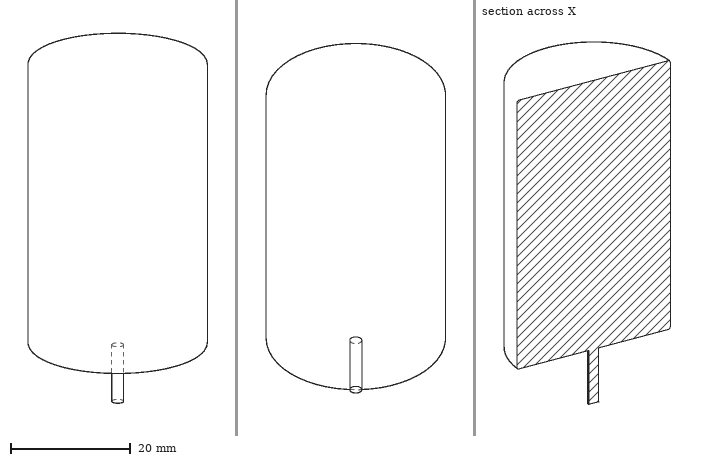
import cadquery as cq

body_diameter = 30.0
body_height = 50.0
edge_radius = 0.5
pin_diameter = 2.0
pin_length = 10.0


def make_body():
    """Upright cylinder standing on Z = 0, with both rims rounded."""
    cylinder = cq.Workplane("XY").circle(body_diameter / 2).extrude(body_height)
    return cylinder.faces("<Z or >Z").edges().fillet(edge_radius)


def make_pin():
    """Round pin on the axis, hanging below the bottom face of the body."""
    return cq.Workplane("XY").circle(pin_diameter / 2).extrude(-pin_length)


result = make_body().union(make_pin())